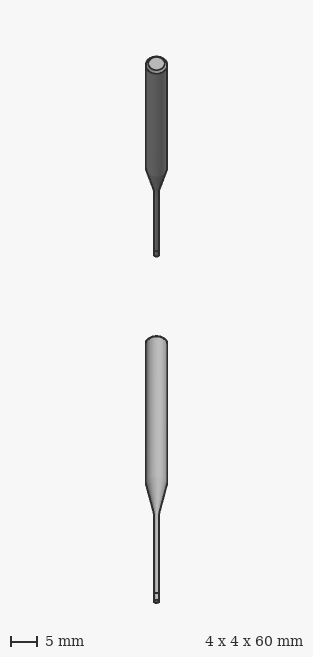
import cadquery as cq
import math

total_length = 60.0
shank_diameter = 4.0
chamfer_height = 0.5
chamfer_width = 0.5
cutter_diameter = 1.0
neck_diameter = 0.95

cutter_length = 1.6
neck_top = 19.5
cone_bottom = 20.75
cone_top = 27.2

shank_radius = shank_diameter / 2
neck_radius = neck_diameter / 2
cutter_radius = cutter_diameter / 2


def tangent_cone_half_angle():
    """Half angle of the cone that runs tangentially into the neck blend.

    The blend arc turns through the half angle a, so its radius grows by
    blend_height * tan(a / 2); the cone then grows by cone_height * tan(a).
    With t = tan(a / 2) and tan(a) = 2t / (1 - t^2), t is found by iteration.
    """
    blend_height = cone_bottom - neck_top
    cone_height = cone_top - cone_bottom
    growth = shank_radius - neck_radius
    half_tangent = 0.0
    iterations = 20
    for _ in range(iterations):
        half_tangent = growth / (blend_height + 2 * cone_height / (1 - half_tangent**2))
    return 2 * math.atan(half_tangent)


def make_shank():
    """Chamfered shank, cone, concave blend and slim neck, revolved as one solid."""
    half_angle = tangent_cone_half_angle()
    blend_radius = (cone_bottom - neck_top) / math.sin(half_angle)
    blend_center_x = neck_radius + blend_radius
    cone_bottom_radius = blend_center_x - blend_radius * math.cos(half_angle)
    blend_middle = (
        blend_center_x - blend_radius * math.cos(half_angle / 2),
        neck_top + blend_radius * math.sin(half_angle / 2),
    )
    return (
        cq.Workplane("XZ")
        .moveTo(0, cutter_length)
        .lineTo(neck_radius, cutter_length)
        .lineTo(neck_radius, neck_top)
        .threePointArc(blend_middle, (cone_bottom_radius, cone_bottom))
        .lineTo(shank_radius, cone_top)
        .lineTo(shank_radius, total_length - chamfer_height)
        .lineTo(shank_radius - chamfer_width, total_length)
        .lineTo(0, total_length)
        .close()
        .revolve(360, (0, 0, 0), (0, 1, 0))
    )


def make_cutter():
    """Plain cylindrical cutting tip below the neck."""
    return cq.Workplane("XY").circle(cutter_radius).extrude(cutter_length)


shank = make_shank()
cutter = make_cutter()

result = cq.Compound.makeCompound([shank.val(), cutter.val()])